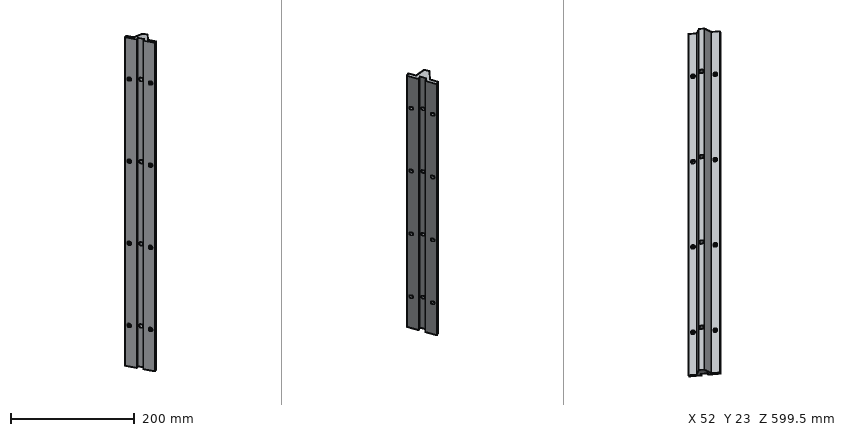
import cadquery as cq

length = 599.5
width = 52.0
height = 23.0

flange_thickness = 6.0
rib_base_width = 24.5
rib_top_width = 9.0
groove_width = 11.5
groove_depth = 6.0

hole_diameter = 6.5
column_spacing = 18.5
rows = 4
row_pitch = length / rows


def make_rail():
    """Flat flange with a tapered rib behind it and a groove along the front face."""
    outline = [
        (-width / 2, 0),
        (-groove_width / 2, 0),
        (-groove_width / 2, groove_depth),
        (groove_width / 2, groove_depth),
        (groove_width / 2, 0),
        (width / 2, 0),
        (width / 2, flange_thickness),
        (rib_base_width / 2, flange_thickness),
        (rib_top_width / 2, height),
        (-rib_top_width / 2, height),
        (-rib_base_width / 2, flange_thickness),
        (-width / 2, flange_thickness),
    ]
    return cq.Workplane("XY").polyline(outline).close().extrude(length)


def make_holes():
    """Drills through the full height, each row centred in its share of the length."""
    centers = [
        (column * column_spacing, (row + 0.5) * row_pitch)
        for row in range(rows)
        for column in (-1, 0, 1)
    ]
    return cq.Workplane("XZ").pushPoints(centers).circle(hole_diameter / 2).extrude(-height)


result = make_rail().cut(make_holes())